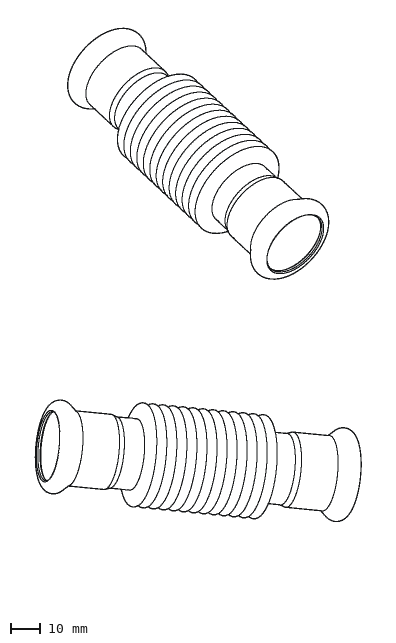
import cadquery as cq
import math

total_length = 106.0
end_x = total_length / 2
wall = 1.55

socket_outer_radius = 25.3 / 2
socket_bore_radius = socket_outer_radius - wall
collar_outer_radius = 24.0 / 2
collar_bore_radius = collar_outer_radius - wall
taper_start_x = 32.1
taper_end_x = 30.15

bead_outer_radius = 2 * wall
bead_inner_radius = bead_outer_radius - wall
bead_centre_radius = socket_outer_radius
bead_centre_x = end_x - bead_outer_radius
bead_foot_x = 45.0
mouth_radius = 23.2 / 2
mouth_chamfer = 0.4
bore_blend_radius = 1.4

convolution_count = 13
convolution_pitch = 3.54
convolution_outer_radius = 35.0 / 2
crest_radius = 0.88
root_radius = convolution_pitch / 2 - crest_radius
bellows_bore_radius = 21.0 / 2
bellows_half_length = convolution_count * convolution_pitch / 2

marker_disc_radius = 1.45
marker_bar_width = 1.0
marker_thickness = 2.0

foot_run = bead_centre_x - bead_foot_x
cone_normal_angle = math.acos(bead_outer_radius / foot_run)
cone_slope_angle = math.pi / 2 - cone_normal_angle

bore_foot_x = bead_foot_x + wall * math.tan(cone_slope_angle / 2)
blend_length = bore_blend_radius * math.tan(cone_slope_angle / 2)


def bead_point(radius, angle):
    """Point (x, r) on a circle around the bead's centre."""
    return (bead_centre_x - radius * math.cos(angle), bead_centre_radius + radius * math.sin(angle))


def blend_point(angle):
    """Point (x, r) on the bore blend; angle 0 lies on the bore."""
    centre_x = bore_foot_x - blend_length
    centre_radius = socket_bore_radius + bore_blend_radius
    return (
        centre_x + bore_blend_radius * math.sin(angle),
        centre_radius - bore_blend_radius * math.cos(angle),
    )


def revolved(profile):
    return profile.close().revolve(360, (0, 0, 0), (1, 0, 0))


def make_fitting():
    """Right press fitting: collar, taper, socket and the open bead at its mouth."""
    bead_arc_middle = (cone_normal_angle + math.pi) / 2
    lip_inner_x = end_x - wall
    return revolved(
        cq.Workplane("XY")
        .moveTo(bellows_half_length, collar_bore_radius)
        .lineTo(taper_start_x, collar_bore_radius)
        .lineTo(taper_start_x, socket_bore_radius)
        .lineTo(*blend_point(0))
        .threePointArc(blend_point(cone_slope_angle / 2), blend_point(cone_slope_angle))
        .lineTo(*bead_point(bead_inner_radius, cone_normal_angle))
        .threePointArc(
            bead_point(bead_inner_radius, bead_arc_middle),
            bead_point(bead_inner_radius, math.pi),
        )
        .lineTo(lip_inner_x, mouth_radius + mouth_chamfer)
        .lineTo(lip_inner_x + mouth_chamfer, mouth_radius)
        .lineTo(end_x - mouth_chamfer, mouth_radius)
        .lineTo(end_x, mouth_radius + mouth_chamfer)
        .lineTo(end_x, bead_centre_radius)
        .threePointArc(
            bead_point(bead_outer_radius, bead_arc_middle),
            bead_point(bead_outer_radius, cone_normal_angle),
        )
        .lineTo(bead_foot_x, socket_outer_radius)
        .lineTo(taper_start_x, socket_outer_radius)
        .lineTo(taper_end_x, collar_outer_radius)
        .lineTo(bellows_half_length, collar_outer_radius)
    )


def make_corrugated_tube():
    """Bellows wall: half-round crests and roots joined by flat flanks."""
    root_centre = collar_outer_radius + root_radius
    crest_centre = convolution_outer_radius - crest_radius
    root_offset = root_radius * math.sqrt(0.5)
    profile = (
        cq.Workplane("XY")
        .moveTo(-bellows_half_length, bellows_bore_radius)
        .lineTo(-bellows_half_length, collar_outer_radius)
    )
    for index in range(convolution_count):
        x = (index - (convolution_count - 1) / 2) * convolution_pitch
        left_root_x = x - convolution_pitch / 2
        right_root_x = x + convolution_pitch / 2
        profile = (
            profile
            .threePointArc(
                (left_root_x + root_offset, root_centre - root_offset),
                (x - crest_radius, root_centre),
            )
            .lineTo(x - crest_radius, crest_centre)
            .threePointArc((x, convolution_outer_radius), (x + crest_radius, crest_centre))
            .lineTo(x + crest_radius, root_centre)
            .threePointArc(
                (right_root_x - root_offset, root_centre - root_offset),
                (right_root_x, collar_outer_radius),
            )
        )
    return revolved(profile.lineTo(bellows_half_length, bellows_bore_radius))


def make_marker():
    """Disc on the axis with a bar that runs along +Y into the bellows wall."""
    bar_length = (bellows_bore_radius + collar_outer_radius) / 2
    disc = cq.Workplane("YZ").circle(marker_disc_radius).extrude(marker_thickness / 2, both=True)
    bar = cq.Workplane("XY").box(
        marker_thickness, bar_length, marker_bar_width, centered=(True, False, True)
    )
    return disc.union(bar)


bellows = make_corrugated_tube().union(make_marker())
right_fitting = make_fitting()
left_fitting = right_fitting.mirror("YZ")

result = cq.Compound.makeCompound([bellows.val(), left_fitting.val(), right_fitting.val()])